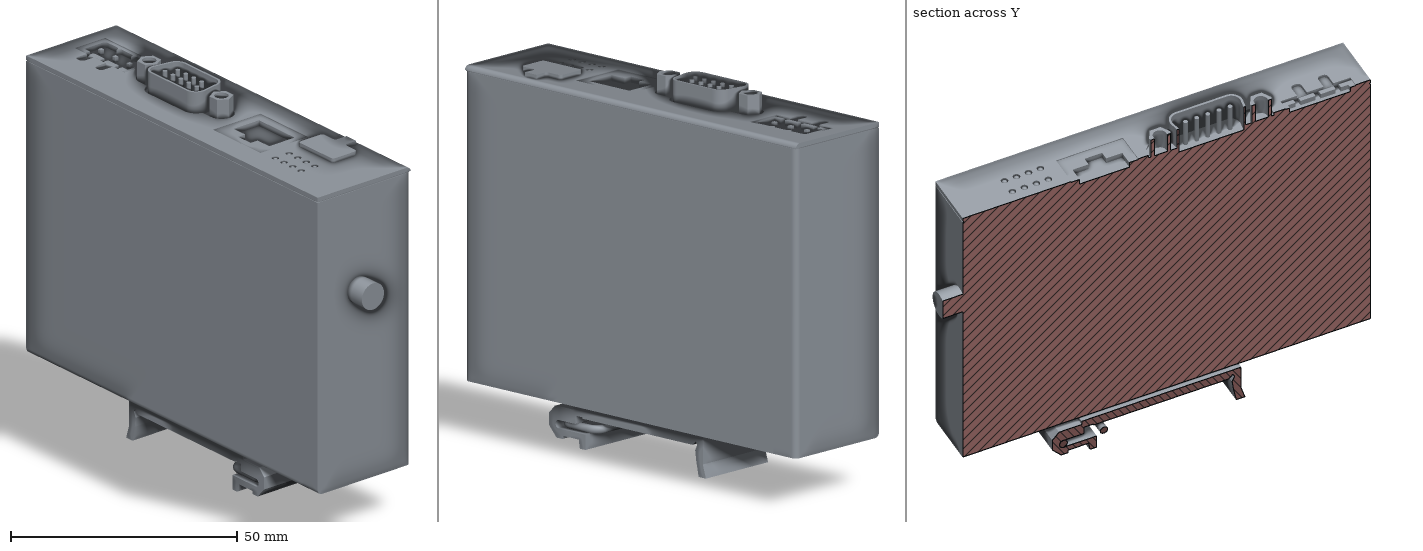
import cadquery as cq
import math

OVERALL_LENGTH = 105.9
OVERALL_HEIGHT = 87.5

HOUSING_LENGTH = 100.9
HOUSING_DEPTH = 26.8
HOUSING_HEIGHT = 72.0
BEND_RADIUS = 1.3
TOP_PLATE_THICKNESS = 1.1
SEAM_WIDTH = 0.2
SEAM_DEPTH = 0.2

SOCKET_RADIUS = 3.2
SOCKET_LENGTH = OVERALL_LENGTH - HOUSING_LENGTH
SOCKET_Y = 11.8
SOCKET_Z = 46.5

PANEL_STEP = 0.2

TERMINAL_LEFT, TERMINAL_RIGHT = 3.7, 21.0
TERMINAL_FRONT, TERMINAL_BACK = 10.9, 19.6
TERMINAL_X = 12.5
TERMINAL_PITCH = 5.0
TERMINAL_CAVITY_WIDTH = 3 * TERMINAL_PITCH
TERMINAL_CAVITY_FRONT, TERMINAL_CAVITY_BACK = 12.6, 18.6
TERMINAL_CAVITY_DEPTH = 1.3
TERMINAL_LOBE_RADIUS = 1.0
TERMINAL_SLOPE_BACK = 11.5
TERMINAL_SLOT_WIDTH = 1.3
TERMINAL_PIN_SIZE = 1.0
TERMINAL_PIN_Y = 15.2
TERMINAL_PIN_HEIGHT = 1.3
LATCH_XS = (9.1, 15.7)
LATCH_WIDTH = 2.4
LATCH_FRONT = 7.4
LATCH_DEPTH = 0.7
LATCH_CORNER = 1.0

DSUB_X = 39.4
DSUB_Y = 13.0
DSUB_HEIGHT = 4.8
DSUB_RECESS = 0.7
DSUB_CAVITY_DEPTH = 2.1
DSUB_WIDTH = 18.9
DSUB_DEPTH = 9.5
DSUB_SIDE_ANGLE = 10
DSUB_CORNER = 2.6
DSUB_WALL = 0.5
DSUB_MARGIN = 0.7
DSUB_PIN_PITCH = 2.8
DSUB_PIN_ROW_SPACING = 2.5
DSUB_PIN_RADIUS = 0.5
DSUB_PIN_HEIGHT = 4.6
EAR_SPACING = 25.0
EAR_RADIUS = 3.0
NUT_ACROSS_FLATS = 4.7
NUT_HEIGHT = 4.3
NUT_HOLE_RADIUS = 1.6

RJ45_LEFT, RJ45_RIGHT = 57.5, 74.0
RJ45_FRONT, RJ45_BACK = 5.9, 19.6
RJ45_OPENING_LEFT, RJ45_OPENING_RIGHT = 59.7, 72.0
RJ45_OPENING_FRONT, RJ45_OPENING_BACK = 10.1, 17.4
RJ45_LATCH_WIDTH = 4.3
RJ45_LATCH_FRONT = 8.0
RJ45_DEPTH = 1.4

COVER_X = 82.6
COVER_WIDTH = 12.0
COVER_FRONT, COVER_BACK = 14.6, 21.6
COVER_STRAP_WIDTH = 3.4
COVER_STRAP_BACK = 24.9
COVER_HEIGHT = 1.1
COVER_CORNER = 0.7

LAMP_COLUMNS, LAMP_ROWS = 4, 2
LAMP_FIRST_X, LAMP_FIRST_Y = 78.3, 6.7
LAMP_PITCH_X, LAMP_PITCH_Y = 3.0, 3.9
LAMP_HOLE_RADIUS = 0.8
LAMP_DOME_RADIUS = 0.7

CLIP_FRONT = 3.0
CLIP_WIDTH = 20.0
CLIP_TOP = -1.3
CLIP_BOTTOM = HOUSING_HEIGHT + DSUB_HEIGHT - OVERALL_HEIGHT
CLIP_RIGHT = 78.8
BAR_THICKNESS = 2.4
BAR_RIGHT = 71.5
BAR_NOTCH_LEFT = 68.6
BAR_NOTCH_DEPTH = 0.3

HOOK_LEFT = 32.0
HOOK_KNEE_Z = -7.6
HOOK_TIP_LEFT, HOOK_TIP_RIGHT = 31.0, 33.3
HOOK_BULGE_X, HOOK_BULGE_Z = 34.3, -4.8
HOOK_NECK_X, HOOK_NECK_Z = 33.7, -3.4
HOOK_RELIEF_X, HOOK_RELIEF_Z = 34.1, -2.8
HOOK_INNER_X, HOOK_INNER_Z = 34.0, -7.1
BAR_LEFT = 35.2

JAW_LEFT = 70.8
JAW_TOP, JAW_BOTTOM = -2.2, -9.4
JAW_SHOULDER_TOP, JAW_SHOULDER_BOTTOM = -4.0, -7.0
JAW_TOP_RIGHT, JAW_BOTTOM_RIGHT = 77.1, 76.6
JAW_HEEL_LEFT = 74.8
LIP_UNDERSIDE = -8.7
LIP_LEFT, LIP_RIGHT, LIP_TIP_RIGHT = 67.8, 69.8, 69.5
SLOT_TOP, SLOT_BOTTOM = -5.3, -7.2
SLOT_END = 76.9

SPRING_LEFT = 65.0
SPRING_INSET = 0.8
SPRING_BEND_RADIUS = 2.1


def block(left, right, front, back, bottom, top):
    size = (right - left, back - front, top - bottom)
    return cq.Workplane("XY").box(*size, centered=False).translate((left, front, bottom))


def on_top(level=0.0):
    """Workplane parallel to the top panel, `level` above it."""
    return cq.Workplane("XY").workplane(offset=HOUSING_HEIGHT + level)


def make_case():
    """Box with bent-sheet edges and a thin seam groove under the top plate."""
    seam_top = HOUSING_HEIGHT - TOP_PLATE_THICKNESS
    seam_bottom = seam_top - SEAM_WIDTH
    size = (HOUSING_LENGTH, HOUSING_DEPTH)
    lower = cq.Workplane("XY").box(*size, seam_bottom, centered=False)
    lower = lower.edges("|Z and >Y").fillet(BEND_RADIUS)
    lower = lower.edges("|X and <Y and <Z").fillet(BEND_RADIUS)
    rounded_box = cq.Workplane("XY").box(*size, HOUSING_HEIGHT, centered=False)
    rounded_box = rounded_box.edges("|X and >Y and >Z").fillet(BEND_RADIUS)
    plate = rounded_box.intersect(block(0, HOUSING_LENGTH, 0, HOUSING_DEPTH, seam_top, HOUSING_HEIGHT))
    seam = block(
        SEAM_DEPTH, HOUSING_LENGTH - SEAM_DEPTH, SEAM_DEPTH, HOUSING_DEPTH - SEAM_DEPTH,
        seam_bottom, seam_top,
    )
    return lower.union(seam).union(plate)


def make_socket():
    disc = cq.Workplane("YZ").center(SOCKET_Y, SOCKET_Z).circle(SOCKET_RADIUS)
    return disc.extrude(SOCKET_LENGTH).translate((HOUSING_LENGTH, 0, 0))


def terminal_pole_xs():
    return [TERMINAL_X + i * TERMINAL_PITCH for i in (-1, 0, 1)]


def make_terminal_cavity(floor):
    """Cavity with a scalloped back and one slot per pole through its front wall."""
    top = HOUSING_HEIGHT
    half_width = TERMINAL_CAVITY_WIDTH / 2
    shoulder = TERMINAL_CAVITY_BACK - TERMINAL_LOBE_RADIUS
    cavity = block(
        TERMINAL_X - half_width, TERMINAL_X + half_width, TERMINAL_CAVITY_FRONT, shoulder, floor, top
    )
    half_pitch = TERMINAL_PITCH / 2
    half_slot = TERMINAL_SLOT_WIDTH / 2
    for x in terminal_pole_xs():
        lobe = block(
            x - half_pitch, x + half_pitch, TERMINAL_CAVITY_FRONT, TERMINAL_CAVITY_BACK, floor, top
        )
        lobe = lobe.edges("|Z and >Y").fillet(TERMINAL_LOBE_RADIUS)
        slot = block(x - half_slot, x + half_slot, TERMINAL_FRONT, TERMINAL_CAVITY_FRONT, floor, top)
        cavity = cavity.union(lobe).union(slot)
    return cavity


def make_latch_notch(x):
    half_width = LATCH_WIDTH / 2
    notch = block(
        x - half_width, x + half_width, LATCH_FRONT, TERMINAL_FRONT,
        HOUSING_HEIGHT - LATCH_DEPTH, HOUSING_HEIGHT,
    )
    return notch.edges("|Z and <Y").fillet(LATCH_CORNER)


def cut_terminal_block(case):
    face = HOUSING_HEIGHT - PANEL_STEP
    floor = face - TERMINAL_CAVITY_DEPTH
    frame = block(TERMINAL_LEFT, TERMINAL_RIGHT, TERMINAL_FRONT, TERMINAL_BACK, face, HOUSING_HEIGHT)
    wall_slope = (
        cq.Workplane("YZ")
        .polyline([
            (TERMINAL_SLOPE_BACK, face),
            (TERMINAL_FRONT, face),
            (TERMINAL_FRONT, HOUSING_HEIGHT - LATCH_DEPTH),
        ])
        .close().extrude(TERMINAL_RIGHT - TERMINAL_LEFT).translate((TERMINAL_LEFT, 0, 0))
    )
    case = case.cut(frame).cut(wall_slope).cut(make_terminal_cavity(floor))
    for x in LATCH_XS:
        case = case.cut(make_latch_notch(x))

    half_pin = TERMINAL_PIN_SIZE / 2
    pin_top = floor + TERMINAL_PIN_HEIGHT
    for x in terminal_pole_xs():
        pin = block(
            x - half_pin, x + half_pin, TERMINAL_PIN_Y - half_pin, TERMINAL_PIN_Y + half_pin, floor, pin_top
        )
        case = case.union(pin)
    return case


def dsub_prism(offset, bottom, height):
    """Rounded trapezoid, wider at the front, grown outwards by `offset`."""
    half_front = DSUB_WIDTH / 2
    half_back = half_front - DSUB_DEPTH * math.tan(math.radians(DSUB_SIDE_ANGLE))
    half_depth = DSUB_DEPTH / 2
    prism = (
        on_top(bottom).center(DSUB_X, DSUB_Y)
        .polyline([
            (-half_front, -half_depth), (half_front, -half_depth),
            (half_back, half_depth), (-half_back, half_depth),
        ])
        .close().offset2D(offset, "intersection").extrude(height)
    )
    return prism.edges("|Z").fillet(DSUB_CORNER + offset)


def add_dsub(case):
    ears = (
        on_top(-DSUB_RECESS).center(DSUB_X, DSUB_Y)
        .slot2D(EAR_SPACING + 2 * EAR_RADIUS, 2 * EAR_RADIUS).extrude(DSUB_RECESS)
    )
    case = case.cut(dsub_prism(DSUB_MARGIN, -DSUB_RECESS, DSUB_RECESS).union(ears))

    case = case.union(dsub_prism(0, -DSUB_RECESS, DSUB_HEIGHT + DSUB_RECESS))
    case = case.cut(dsub_prism(-DSUB_WALL, -DSUB_CAVITY_DEPTH, DSUB_HEIGHT + DSUB_CAVITY_DEPTH))

    for pin_count, side in ((5, -1), (4, 1)):
        for i in range(pin_count):
            x = DSUB_X + (i - (pin_count - 1) / 2) * DSUB_PIN_PITCH
            y = DSUB_Y + side * DSUB_PIN_ROW_SPACING / 2
            pin = on_top(-DSUB_CAVITY_DEPTH).center(x, y).circle(DSUB_PIN_RADIUS)
            case = case.union(pin.extrude(DSUB_PIN_HEIGHT + DSUB_CAVITY_DEPTH))

    across_corners = NUT_ACROSS_FLATS / math.cos(math.radians(30))
    for side in (-1, 1):
        nut = (
            on_top(-DSUB_RECESS).center(DSUB_X + side * EAR_SPACING / 2, DSUB_Y)
            .polygon(6, across_corners).circle(NUT_HOLE_RADIUS).extrude(NUT_HEIGHT + DSUB_RECESS)
        )
        case = case.union(nut)
    return case


def cut_rj45(case):
    top = HOUSING_HEIGHT
    face = top - PANEL_STEP
    floor = face - RJ45_DEPTH
    frame = block(RJ45_LEFT, RJ45_RIGHT, RJ45_FRONT, RJ45_BACK, face, top)
    opening = block(
        RJ45_OPENING_LEFT, RJ45_OPENING_RIGHT, RJ45_OPENING_FRONT, RJ45_OPENING_BACK, floor, top
    )
    middle = (RJ45_OPENING_LEFT + RJ45_OPENING_RIGHT) / 2
    half_latch = RJ45_LATCH_WIDTH / 2
    latch = block(
        middle - half_latch, middle + half_latch, RJ45_LATCH_FRONT, RJ45_OPENING_FRONT, floor, top
    )
    return case.cut(frame).cut(opening).cut(latch)


def make_usb_cover():
    top = HOUSING_HEIGHT + COVER_HEIGHT
    half_width = COVER_WIDTH / 2
    pad = block(COVER_X - half_width, COVER_X + half_width, COVER_FRONT, COVER_BACK, HOUSING_HEIGHT, top)
    half_strap = COVER_STRAP_WIDTH / 2
    strap = block(
        COVER_X - half_strap, COVER_X + half_strap, COVER_BACK, COVER_STRAP_BACK, HOUSING_HEIGHT, top
    )
    return pad.union(strap).edges("|Z and (not >Y)").fillet(COVER_CORNER)


def add_lamps(case):
    for column in range(LAMP_COLUMNS):
        for row in range(LAMP_ROWS):
            x = LAMP_FIRST_X + column * LAMP_PITCH_X
            y = LAMP_FIRST_Y + row * LAMP_PITCH_Y
            hole = on_top().center(x, y).circle(LAMP_HOLE_RADIUS).extrude(-LAMP_DOME_RADIUS)
            dome = cq.Workplane("XY").sphere(LAMP_DOME_RADIUS)
            dome = dome.translate((x, y, HOUSING_HEIGHT - LAMP_DOME_RADIUS))
            case = case.cut(hole).union(dome)
    return case


def make_housing():
    case = make_case().union(make_socket())
    case = cut_terminal_block(case)
    case = add_dsub(case)
    case = cut_rj45(case)
    case = case.union(make_usb_cover())
    return add_lamps(case)


def make_clip():
    slot_radius = (SLOT_TOP - SLOT_BOTTOM) / 2
    slot_middle = (SLOT_TOP + SLOT_BOTTOM) / 2
    bar_bottom = CLIP_TOP - BAR_THICKNESS
    notch_top = bar_bottom + BAR_NOTCH_DEPTH
    profile = (
        cq.Workplane("XZ")
        .moveTo(HOOK_LEFT, CLIP_TOP)
        .lineTo(BAR_RIGHT, CLIP_TOP)
        .lineTo(BAR_RIGHT, JAW_TOP)
        .lineTo(JAW_TOP_RIGHT, JAW_TOP)
        .lineTo(CLIP_RIGHT, JAW_SHOULDER_TOP)
        .lineTo(CLIP_RIGHT, JAW_SHOULDER_BOTTOM)
        .lineTo(JAW_BOTTOM_RIGHT, JAW_BOTTOM)
        .lineTo(JAW_HEEL_LEFT, JAW_BOTTOM)
        .lineTo(JAW_HEEL_LEFT, LIP_UNDERSIDE)
        .lineTo(LIP_RIGHT, LIP_UNDERSIDE)
        .lineTo(LIP_TIP_RIGHT, CLIP_BOTTOM)
        .lineTo(LIP_LEFT, CLIP_BOTTOM)
        .lineTo(LIP_LEFT, SLOT_BOTTOM)
        .lineTo(SLOT_END - slot_radius, SLOT_BOTTOM)
        .threePointArc((SLOT_END, slot_middle), (SLOT_END - slot_radius, SLOT_TOP))
        .lineTo(JAW_LEFT, SLOT_TOP)
        .lineTo(JAW_LEFT, notch_top)
        .lineTo(BAR_NOTCH_LEFT, notch_top)
        .lineTo(BAR_NOTCH_LEFT, bar_bottom)
        .lineTo(BAR_LEFT, bar_bottom)
        .lineTo(HOOK_RELIEF_X, HOOK_RELIEF_Z)
        .lineTo(HOOK_NECK_X, HOOK_NECK_Z)
        .lineTo(HOOK_BULGE_X, HOOK_BULGE_Z)
        .lineTo(HOOK_INNER_X, HOOK_INNER_Z)
        .lineTo(HOOK_TIP_RIGHT, CLIP_BOTTOM)
        .lineTo(HOOK_TIP_LEFT, CLIP_BOTTOM)
        .lineTo(HOOK_LEFT, HOOK_KNEE_Z)
        .close()
    )
    return profile.extrude(-CLIP_WIDTH).translate((0, CLIP_FRONT, 0))


def make_spring():
    """Closed loop of round wire that lies flat in the clip slot."""
    radius = (SLOT_TOP - SLOT_BOTTOM) / 2
    middle_z = (SLOT_TOP + SLOT_BOTTOM) / 2
    left = SPRING_LEFT + radius
    right = SLOT_END - radius
    front = CLIP_FRONT + SPRING_INSET + radius
    back = CLIP_FRONT + CLIP_WIDTH - SPRING_INSET - radius
    bend = SPRING_BEND_RADIUS
    diagonal = bend * (1 - math.sqrt(0.5))
    path = (
        cq.Workplane("XY").workplane(offset=middle_z)
        .moveTo(left + bend, front)
        .lineTo(right - bend, front)
        .threePointArc((right - diagonal, front + diagonal), (right, front + bend))
        .lineTo(right, back - bend)
        .threePointArc((right - diagonal, back - diagonal), (right - bend, back))
        .lineTo(left + bend, back)
        .threePointArc((left + diagonal, back - diagonal), (left, back - bend))
        .lineTo(left, front + bend)
        .threePointArc((left + diagonal, front + diagonal), (left + bend, front))
        .close()
    )
    section = cq.Workplane("YZ", origin=(left + bend, front, middle_z)).circle(radius)
    return section.sweep(path)


housing = make_housing().solids()
clip = make_clip()
spring = make_spring()
result = cq.Compound.makeCompound([housing.val(), clip.val(), spring.val()])